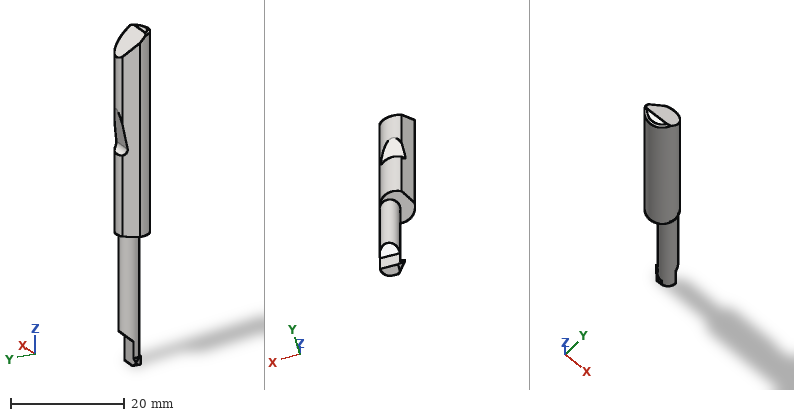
import cadquery as cq
import math

total_length = 63.5
shank_radius = 3.2
shank_bottom = 25.4
end_chamfer_height = 0.25
end_chamfer_inset = 0.5

flat_direction = 150.0
flat_distance = shank_radius * math.cos(math.radians(30))

slope_start_y = -1.4

notch_depth = 1.3
notch_bottom = 40.65
notch_top = 49.1

neck_radius = 1.85
neck_x = shank_radius - neck_radius
relief_bottom = 4.7
relief_top = 6.3

tooth_tip_x = -1.45
tip_bottom = 0.8
tip_top = 1.1
tooth_height = 1.65
tooth_top_drop = 0.25
tooth_root_x = -0.45
tooth_base_x = -0.1
tooth_heel_x = 0.25
tooth_right_x = 1.5


def extrude_across_x(points):
    """Prism through the full width of the tool from points in the YZ plane."""
    return cq.Workplane("YZ").polyline(points).close().extrude(shank_radius, both=True)


def make_shank():
    shank = (
        cq.Workplane("XY")
        .workplane(offset=shank_bottom)
        .circle(shank_radius)
        .extrude(total_length - shank_bottom)
        .faces(">Z")
        .chamfer(end_chamfer_height, end_chamfer_inset)
    )
    side_flat = (
        cq.Workplane("XY")
        .box(shank_radius, 2 * shank_radius, total_length, centered=(False, True, False))
        .translate((flat_distance, 0, 0))
        .rotate((0, 0, 0), (0, 0, 1), flat_direction)
    )
    slope_width = shank_radius - slope_start_y
    slope = extrude_across_x([
        (slope_start_y, total_length),
        (shank_radius, total_length),
        (shank_radius, total_length - slope_width),
    ])
    return shank.cut(side_flat).cut(slope).cut(make_notch())


def make_notch():
    """Long ramp into the shank, ending in a quarter round."""
    arc_offset = notch_depth * math.sqrt(0.5)
    arc_center_z = notch_bottom + notch_depth
    return (
        cq.Workplane("YZ")
        .moveTo(shank_radius, notch_bottom)
        .threePointArc(
            (shank_radius - arc_offset, arc_center_z - arc_offset),
            (shank_radius - notch_depth, arc_center_z),
        )
        .lineTo(shank_radius, notch_top)
        .close()
        .extrude(shank_radius, both=True)
    )


def make_neck():
    """Round neck whose back half is removed near the cutting end, trimmed below the tooth."""
    neck = cq.Workplane("XY").center(neck_x, 0).circle(neck_radius).extrude(shank_bottom)
    relief = extrude_across_x([
        (0, 0),
        (neck_radius, 0),
        (neck_radius, relief_top),
        (0, relief_bottom),
    ])
    underside = (
        cq.Workplane("XZ")
        .polyline([(tooth_tip_x, 0), (tooth_base_x, 0), (tooth_tip_x, tip_bottom)])
        .close()
        .extrude(neck_radius)
    )
    return neck.cut(relief).cut(underside)


def tooth_profile(top_drop):
    """Tooth outline in the XZ plane, with its upper edges lowered by top_drop."""
    return [
        (tooth_tip_x, tip_bottom),
        (tooth_base_x, 0),
        (tooth_right_x, 0),
        (tooth_right_x, tooth_height - top_drop),
        (tooth_root_x, tooth_height - top_drop),
        (tooth_tip_x, tip_top - top_drop),
    ]


def make_tooth():
    """Pointed tooth with its cutting face at Y = 0, side clearance and a falling top."""
    blank = (
        cq.Workplane("XZ")
        .polyline(tooth_profile(0))
        .close()
        .workplane(offset=neck_radius)
        .polyline(tooth_profile(tooth_top_drop))
        .close()
        .loft(ruled=True)
    )
    plan = [
        (tooth_tip_x, 0),
        (tooth_heel_x, -neck_radius),
        (tooth_right_x, -neck_radius),
        (tooth_right_x, 0),
    ]
    return blank.intersect(cq.Workplane("XY").polyline(plan).close().extrude(tooth_height))


result = make_shank().union(make_neck()).union(make_tooth())